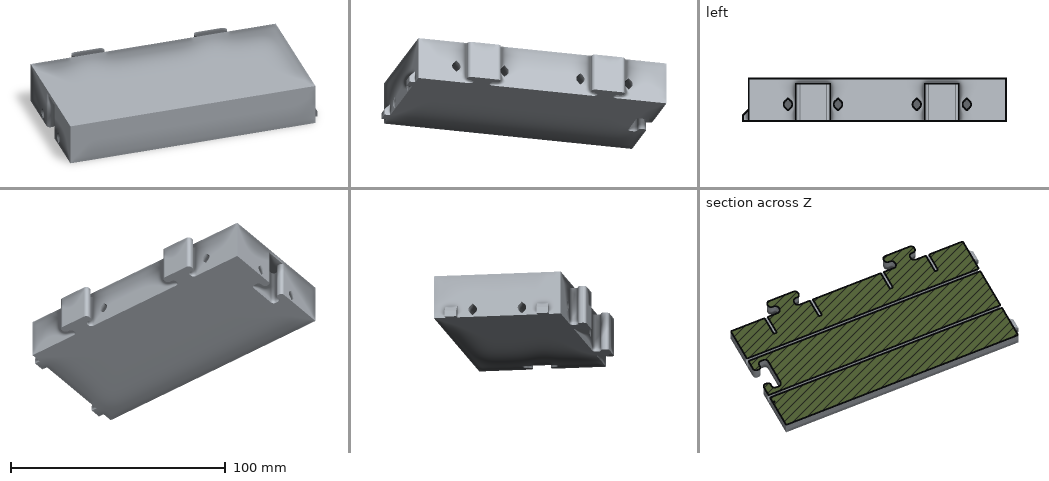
import cadquery as cq
import math

cell = 60.0
cell_count = 2
block_length = cell * cell_count
block_height = 20.0
cell_centers = [cell * (i + 0.5) for i in range(cell_count)]

flange_thickness = cell / 15
neck_length = flange_thickness
neck_width = 2 * flange_thickness
flange_width = 4 * flange_thickness
key_fillet = 1.7
keyway_fillet = 1.6
key_height = 17.5
keyway_height = 18.0
keyway_clearance = 0.2

pin_radius = 2.0
pin_offset = 11.7
x_pin_z = 7.9
y_pin_z = 3.5
x_pin_depth = 10.0

wedge_width = 5.5
wedge_reach = 122.7 - block_length
wedge_tip_height = 2.8
wedge_root_height = wedge_tip_height + wedge_reach
wedge_offset = 21.7


def connector(height, clearance, fillet):
    """I-section prism along Z: inner flange on the +X side of X = 0, neck and outer flange on the -X side."""
    outer_thickness = flange_thickness + 2 * clearance
    outer_width = flange_width + 2 * clearance
    outer_x = -neck_length - flange_thickness / 2
    neck = cq.Workplane("XY").center(-neck_length / 2, 0)
    neck = neck.rect(2 * neck_length, neck_width + 2 * clearance).extrude(height)
    inner_flange = cq.Workplane("XY").center(flange_thickness / 2, 0)
    inner_flange = inner_flange.rect(flange_thickness, outer_width).extrude(height)
    outer_flange = cq.Workplane("XY").center(outer_x, 0)
    outer_flange = outer_flange.rect(outer_thickness, outer_width).extrude(height)
    section = neck.union(inner_flange).union(outer_flange)
    return section.edges("|Z").fillet(fillet)


def pin_hole(plane, across, z, depth):
    """Prism with a round-sided section drawn out to 45 degree points above and below."""
    tangent = pin_radius * math.sqrt(0.5)
    point = pin_radius * math.sqrt(2)
    return (
        cq.Workplane(plane)
        .center(across, z)
        .moveTo(0, point)
        .lineTo(tangent, tangent)
        .threePointArc((pin_radius, 0), (tangent, -tangent))
        .lineTo(0, -point)
        .lineTo(-tangent, -tangent)
        .threePointArc((-pin_radius, 0), (-tangent, tangent))
        .close()
        .extrude(depth)
    )


def snap_wedge(center_x):
    """Wedge standing out from the +Y face, sloped on top."""
    return (
        cq.Workplane("YZ", origin=(center_x - wedge_width / 2, block_length, 0))
        .polyline([
            (0, 0),
            (wedge_reach, 0),
            (wedge_reach, wedge_tip_height),
            (0, wedge_root_height),
        ])
        .close()
        .extrude(wedge_width)
    )


result = cq.Workplane("XY").box(cell, block_length, block_height, centered=False)

for center_y in cell_centers:
    result = result.union(connector(key_height, 0, key_fillet).translate((0, center_y, 0)))
    for side in (-1, 1):
        result = result.cut(pin_hole("YZ", center_y + side * pin_offset, x_pin_z, x_pin_depth))

keyway = connector(keyway_height, keyway_clearance, keyway_fillet).rotate((0, 0, 0), (0, 0, 1), -90)
result = result.cut(keyway.translate((cell / 2, 0, 0)))

for side in (-1, 1):
    result = result.cut(pin_hole("XZ", cell / 2 + side * pin_offset, y_pin_z, -block_length))
    result = result.union(snap_wedge(cell / 2 + side * wedge_offset))